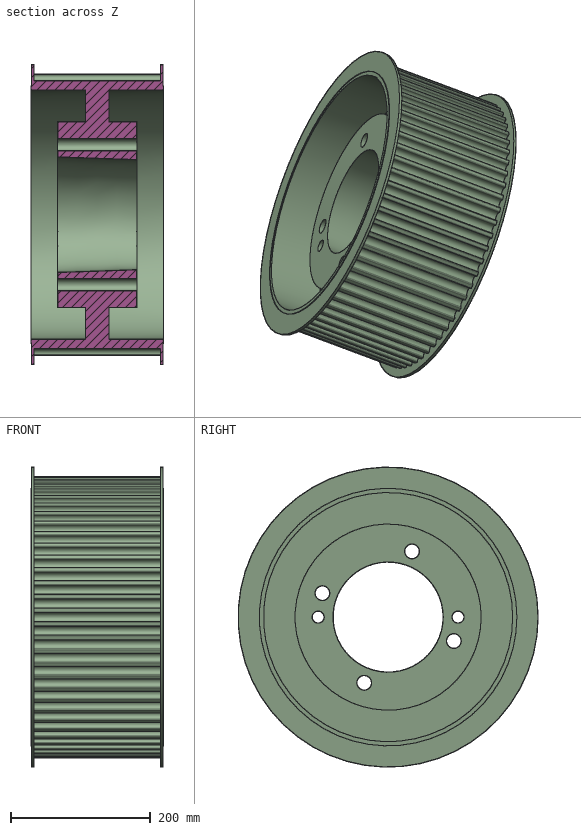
import cadquery as cq
import math

overall_width = 190.5
flange_radius = 215.0
flange_thickness = 4.0
lip_radius = 184.5
lip_height = 1.0

tooth_count = 64
tip_radius = 201.5
groove_radius = 6.5
groove_depth = 9.5
tip_round = 1.5
recess_radius = 178.5

web_thickness = 34.0
hub_radius = 133.5
hub_width = 113.5
bore_radius_large = 82.5
bore_radius_small = 78.5

hole_circle_radius = 100.0
bolt_hole_diameter = 20.5
bolt_hole_count = 4
bolt_hole_angle = -20.0
jack_hole_diameter = 16.8
jack_hole_count = 2
jack_hole_angle = 0.0

flange_outer_x = overall_width / 2 - lip_height
flange_inner_x = flange_outer_x - flange_thickness
recess_depth = (overall_width - web_thickness) / 2


def disc(radius, x_start, length):
    """Solid cylinder along +X."""
    return cq.Workplane("YZ").workplane(offset=x_start).circle(radius).extrude(length)


def polar(radius, angle):
    return (radius * math.cos(angle), radius * math.sin(angle))


def tooth_outline():
    """Closed outline of round-bottomed grooves whose lips blend into the tooth tips."""
    pitch = 2 * math.pi / tooth_count
    groove_center = tip_radius - groove_depth + groove_radius
    round_center = tip_radius - tip_round
    center_gap = groove_radius + tip_round

    half_opening = math.acos(
        (groove_center**2 + round_center**2 - center_gap**2) / (2 * groove_center * round_center)
    )
    round_x, round_y = polar(round_center, half_opening)

    share = groove_radius / center_gap
    touch_x = groove_center + share * (round_x - groove_center)
    touch_y = share * round_y
    touch_radius = math.hypot(touch_x, touch_y)
    touch_angle = math.atan2(touch_y, touch_x)

    toward_groove = math.atan2(touch_y - round_y, touch_x - round_x)
    mid_direction = (toward_groove + half_opening) / 2
    mid_x = round_x + tip_round * math.cos(mid_direction)
    mid_y = round_y + tip_round * math.sin(mid_direction)
    mid_radius = math.hypot(mid_x, mid_y)
    mid_angle = math.atan2(mid_y, mid_x)

    outline = cq.Workplane("YZ").workplane(offset=-flange_inner_x)
    outline = outline.moveTo(*polar(tip_radius, -half_opening))
    for index in range(tooth_count):
        angle = index * pitch
        outline = (
            outline
            .threePointArc(polar(mid_radius, angle - mid_angle), polar(touch_radius, angle - touch_angle))
            .threePointArc(polar(tip_radius - groove_depth, angle), polar(touch_radius, angle + touch_angle))
            .threePointArc(polar(mid_radius, angle + mid_angle), polar(tip_radius, angle + half_opening))
            .threePointArc(polar(tip_radius, angle + pitch / 2), polar(tip_radius, angle + pitch - half_opening))
        )
    return outline.close()


def hole_ring(diameter, count, start_angle):
    """Equally spaced through holes in the hub."""
    return (
        cq.Workplane("YZ")
        .workplane(offset=-hub_width / 2)
        .polarArray(hole_circle_radius, start_angle, 360, count)
        .circle(diameter / 2)
        .extrude(hub_width)
    )


body = tooth_outline().extrude(2 * flange_inner_x)
for flange_start in (-flange_outer_x, flange_inner_x):
    body = body.union(disc(flange_radius, flange_start, flange_thickness))
body = body.union(disc(lip_radius, -overall_width / 2, overall_width))

for recess_start in (-overall_width / 2, web_thickness / 2):
    body = body.cut(disc(recess_radius, recess_start, recess_depth))

body = body.union(disc(hub_radius, -hub_width / 2, hub_width))
tapered_bore = (
    cq.Workplane("YZ")
    .workplane(offset=-hub_width / 2)
    .circle(bore_radius_large)
    .workplane(offset=hub_width)
    .circle(bore_radius_small)
    .loft()
)
body = body.cut(tapered_bore)

body = body.cut(hole_ring(bolt_hole_diameter, bolt_hole_count, bolt_hole_angle))
body = body.cut(hole_ring(jack_hole_diameter, jack_hole_count, jack_hole_angle))

result = body